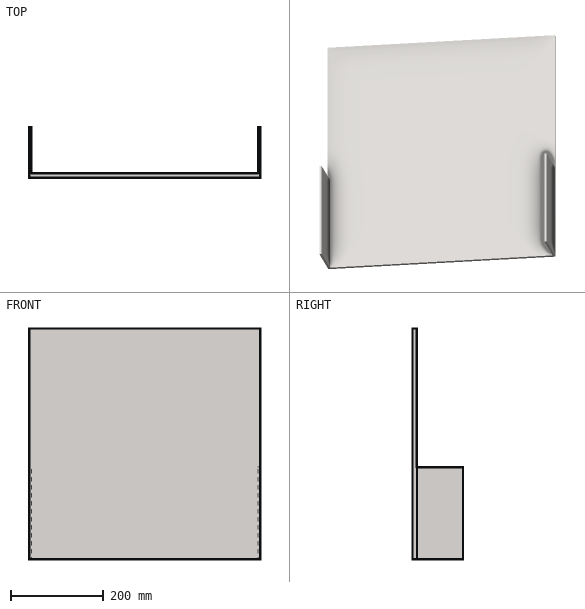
import cadquery as cq

panel_size = 500.0
panel_thickness = 10.0

side_depth = 100.0
side_height = 200.0
side_thickness = 5.0


def make_panel():
    """Square panel in the XZ plane, front face at Y = 0, lower edge at Z = 0."""
    return cq.Workplane("XY").box(
        panel_size, panel_thickness, panel_size, centered=(True, False, False)
    )


def make_side_plate(side):
    """Side plate flush with the panel's edge; side is -1 for left, +1 for right."""
    center_x = side * (panel_size - side_thickness) / 2
    return (
        cq.Workplane("XY")
        .box(side_thickness, side_depth, side_height, centered=(True, False, False))
        .translate((center_x, panel_thickness, 0))
    )


panel = make_panel()
side_plates = [make_side_plate(side) for side in (-1, 1)]

result = cq.Compound.makeCompound(
    [panel.val(), *[plate.val() for plate in side_plates]]
)